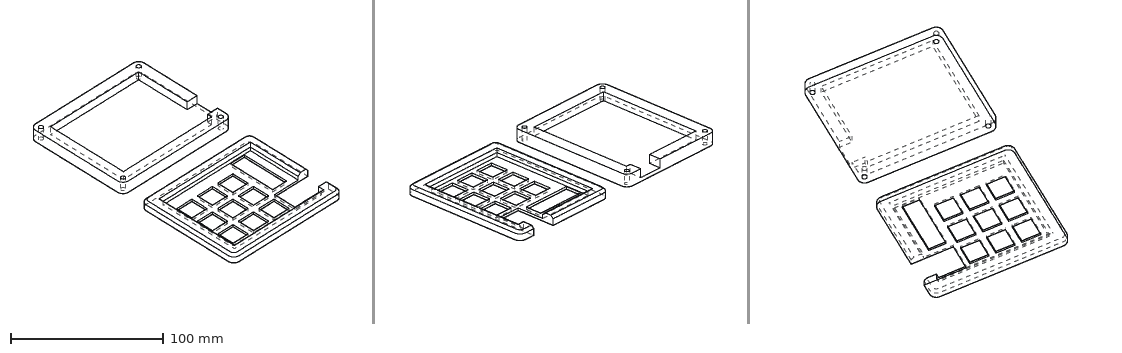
import cadquery as cq

WIDTH = 86.0
LENGTH = 101.0
CORNER_RADIUS = 5.0

CONNECTOR_LEFT = 54.2
CONNECTOR_WIDTH = 18.8

CASE_HEIGHT = 9.6
CASE_FLOOR = 3.0
TRAY_LEFT = 9.2
TRAY_FRONT = 9.7
TRAY_WIDTH = 67.5
TRAY_LENGTH = 82.0
SCREW_DIAMETER = 3.4
SCREW_INSET = 5.0

COVER_X = 103.31
COVER_Y = -0.74
COVER_HEIGHT = 7.0
COVER_CHAMFER = 2.0
COVER_FLOOR = 2.0
RECESS_LEFT = 10.0
RECESS_FRONT = 10.7
RECESS_WIDTH = 66.0
RECESS_LENGTH = 81.1
RECESS_BEVEL = 2.0
CONNECTOR_FRONT = 70.0

WINDOW_LEFT = 10.5
WINDOW_FRONT = 72.9
WINDOW_WIDTH = 39.0
WINDOW_LENGTH = 12.8
KEY_SIZE = 14.0
KEY_PITCH = 19.05
KEY_COUNT = 3
KEYS_LEFT = 19.1
KEYS_FRONT = 14.2


def block(x, y, z, width, length, height):
    """Box given by its lowest corner and its size."""
    return cq.Workplane("XY").box(width, length, height, centered=False).translate((x, y, z))


def rounded_plate(height):
    """Plate with the shared footprint and rounded vertical corners."""
    return block(0, 0, 0, WIDTH, LENGTH, height).edges("|Z").fillet(CORNER_RADIUS)


def make_case():
    wall_height = CASE_HEIGHT - CASE_FLOOR
    tray = block(TRAY_LEFT, TRAY_FRONT, CASE_FLOOR, TRAY_WIDTH, TRAY_LENGTH, wall_height)

    tray_back = TRAY_FRONT + TRAY_LENGTH
    connector_gap = block(
        CONNECTOR_LEFT, tray_back, CASE_FLOOR, CONNECTOR_WIDTH, LENGTH - tray_back, wall_height
    )

    screw_holes = (
        cq.Workplane("XY")
        .center(WIDTH / 2, LENGTH / 2)
        .rect(WIDTH - 2 * SCREW_INSET, LENGTH - 2 * SCREW_INSET, forConstruction=True)
        .vertices()
        .circle(SCREW_DIAMETER / 2)
        .extrude(CASE_HEIGHT)
    )
    return rounded_plate(CASE_HEIGHT).cut(tray).cut(connector_gap).cut(screw_holes)


def make_recess():
    """Recess volume, widening towards the top face except at the corner right of the connector."""
    straight = block(
        RECESS_LEFT, RECESS_FRONT, COVER_FLOOR, RECESS_WIDTH, RECESS_LENGTH, COVER_HEIGHT - COVER_FLOOR
    )
    flare = (
        cq.Workplane("XY", origin=(0, 0, COVER_HEIGHT - RECESS_BEVEL))
        .center(RECESS_LEFT + RECESS_WIDTH / 2, RECESS_FRONT + RECESS_LENGTH / 2)
        .rect(RECESS_WIDTH, RECESS_LENGTH)
        .workplane(offset=RECESS_BEVEL)
        .rect(RECESS_WIDTH + 2 * RECESS_BEVEL, RECESS_LENGTH + 2 * RECESS_BEVEL)
        .loft(ruled=True)
    )
    connector_right = CONNECTOR_LEFT + CONNECTOR_WIDTH
    recess_back = RECESS_FRONT + RECESS_LENGTH
    unbevelled_corner = block(
        connector_right, recess_back, 0, WIDTH - connector_right, LENGTH - recess_back, COVER_HEIGHT
    )
    return straight.union(flare).cut(unbevelled_corner)


def make_cover():
    cover = rounded_plate(COVER_HEIGHT).faces(">Z").chamfer(COVER_CHAMFER)
    cover = cover.cut(make_recess())

    connector_notch = block(
        CONNECTOR_LEFT, CONNECTOR_FRONT, 0, CONNECTOR_WIDTH, LENGTH - CONNECTOR_FRONT, COVER_HEIGHT
    )
    window = block(WINDOW_LEFT, WINDOW_FRONT, 0, WINDOW_WIDTH, WINDOW_LENGTH, COVER_FLOOR)
    cover = cover.cut(connector_notch).cut(window)

    for column in range(KEY_COUNT):
        for row in range(KEY_COUNT):
            key_x = KEYS_LEFT + column * KEY_PITCH
            key_y = KEYS_FRONT + row * KEY_PITCH
            cover = cover.cut(block(key_x, key_y, 0, KEY_SIZE, KEY_SIZE, COVER_FLOOR))
    return cover.translate((COVER_X, COVER_Y, 0))


case = make_case()
cover = make_cover()
result = cq.Compound.makeCompound([case.val(), cover.val()])